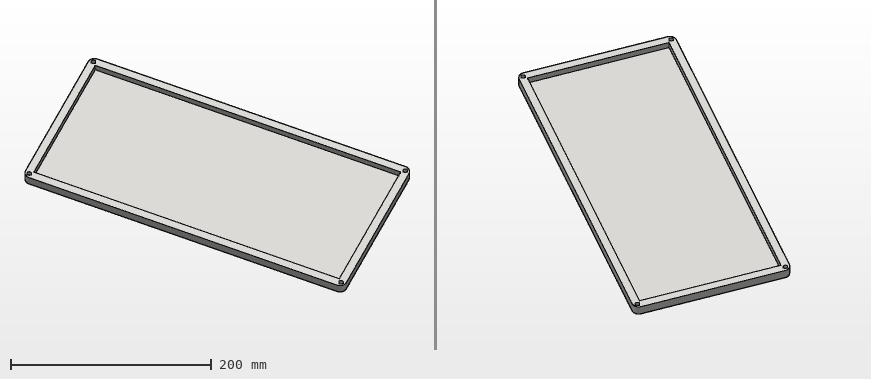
import cadquery as cq

length = 350.0
width = 166.3
height = 10.0
corner_radius = 7.0

rim_width = 8.5
floor_thickness = 3.0
recess_depth = height - floor_thickness

hole_diameter = 4.5
hole_inset = 5.0


def make_body():
    """Flat plate with rounded vertical corners."""
    plate = cq.Workplane("XY").box(length, width, height, centered=(True, True, False))
    return plate.edges("|Z").fillet(corner_radius)


def cut_recess(body):
    """Sink a sharp-cornered rectangle from the top, leaving an even rim."""
    return (
        body.faces(">Z").workplane()
        .rect(length - 2 * rim_width, width - 2 * rim_width)
        .cutBlind(-recess_depth)
    )


def drill_corner_holes(body):
    """Drill one through hole in each corner of the rim."""
    return (
        body.faces(">Z").workplane(origin=(0, 0, height))
        .rect(length - 2 * hole_inset, width - 2 * hole_inset, forConstruction=True)
        .vertices()
        .hole(hole_diameter)
    )


result = drill_corner_holes(cut_recess(make_body()))